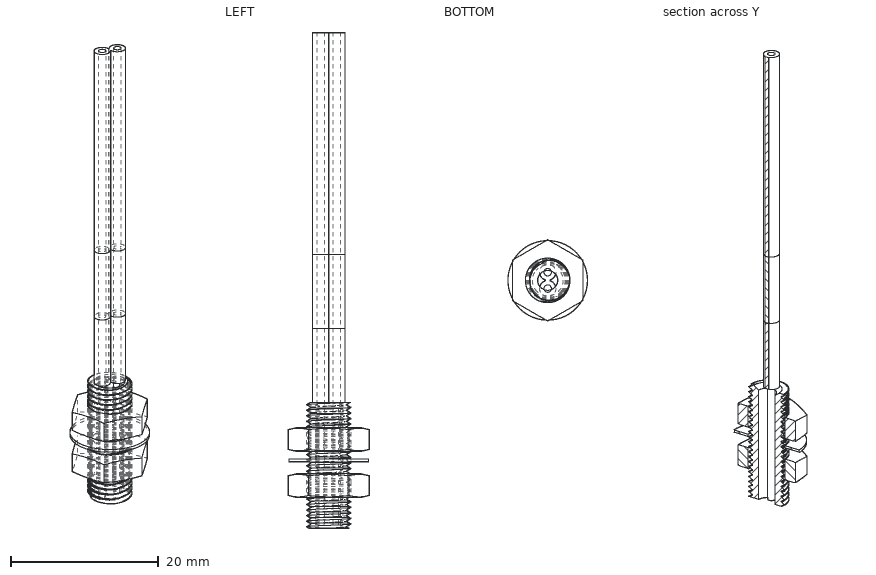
import cadquery as cq
import math

sleeve_length = 17.0
thread_radius = 3.0
thread_depth = 0.6
thread_turns = 22.7
root_start_angle = 170.0
thread_pitch = sleeve_length / thread_turns
root_radius = thread_radius - thread_depth
flank_steps = 8
thread_pieces = 23
seam_tolerance = 0.0001
piece_length = sleeve_length / thread_pieces
piece_turn = 360.0 * thread_turns / thread_pieces
bore_radius = 1.35
funnel_radius = 2.1
funnel_depth = 0.55

nut_across_corners = 11.0
nut_height = 3.2
nut_face_radius = 4.35
nut_chamfer_height = 0.3
nut_bases = (4.15, 10.4)

washer_diameter = 10.8
washer_thickness = 0.4
washer_base = 9.0

overall_height = 67.0
jacket_diameter = 2.2
core_diameter = 1.0
web_width = 0.7
short_jacket_length = 10.0
wire_offsets = (-jacket_diameter / 2, jacket_diameter / 2)
jacket_joints = (
    sleeve_length,
    sleeve_length + short_jacket_length,
    sleeve_length + 2 * short_jacket_length,
    overall_height,
)


def bar(radius, bottom, top, y=0.0):
    """Round bar along Z."""
    return cq.Workplane("XY", origin=(0, y, bottom)).circle(radius).extrude(top - bottom)


def revolved(outline):
    """Solid of revolution about Z from (radius, height) points."""
    return cq.Workplane("XZ").polyline(outline).close().revolve(360, (0, 0, 0), (0, 1, 0))


def polar_point(radius, degrees):
    angle = math.radians(degrees)
    return (radius * math.cos(angle), radius * math.sin(angle))


def make_screw_piece():
    """Short length of sharp V screw: a level slice swept along the helix.

    Two mirrored spirals bound the slice, running from the root out to the crest. They become the flanks.
    """
    flank = []
    for step in range(flank_steps + 1):
        part = step / flank_steps
        flank.append(polar_point(root_radius + part * thread_depth, part * 180.0))
    opposite_flank = [(x, -y) for x, y in reversed(flank)]
    helix = cq.Wire.makeHelix(thread_pitch, piece_length, thread_radius)
    return (
        cq.Workplane("XY")
        .spline(flank)
        .spline(opposite_flank[1:], includeCurrent=True)
        .close()
        .sweep(cq.Workplane(obj=helix), isFrenet=True)
        .rotate((0, 0, 0), (0, 0, 1), root_start_angle)
    )


def make_threaded_bar():
    """One solid sewn from the thread faces of a stack of pieces and the two flat ends."""
    piece = make_screw_piece()
    last_piece = thread_pieces - 1
    faces = []
    for index in range(thread_pieces):
        turned = piece.rotate((0, 0, 0), (0, 0, 1), index * piece_turn)
        stacked = turned.translate((0, 0, index * piece_length))
        faces += stacked.faces("not %Plane").vals()
        if index == 0:
            faces.append(stacked.faces("<Z").val())
        if index == last_piece:
            faces.append(stacked.faces(">Z").val())
    skin = cq.occ_impl.shapes.shell(*faces, tol=seam_tolerance)
    return cq.Workplane(obj=cq.Solid.makeSolid(skin).fix())


def make_sleeve():
    """Threaded tube with a funnel at the upper mouth of its bore."""
    bore = revolved([
        (0, 0),
        (bore_radius, 0),
        (bore_radius, sleeve_length - funnel_depth),
        (funnel_radius, sleeve_length),
        (0, sleeve_length),
    ])
    return make_threaded_bar().cut(bore)


def make_nut(base):
    """Hexagon nut with the corners of both faces chamfered by a cone."""
    corner_radius = nut_across_corners / 2
    hexagon = (
        cq.Workplane("XY")
        .transformed(rotate=(0, 0, 90))
        .polygon(6, nut_across_corners)
        .extrude(nut_height)
    )
    chamfer_envelope = revolved([
        (0, 0),
        (nut_face_radius, 0),
        (corner_radius, nut_chamfer_height),
        (corner_radius, nut_height - nut_chamfer_height),
        (nut_face_radius, nut_height),
        (0, nut_height),
    ])
    nut = hexagon.intersect(chamfer_envelope).cut(bar(thread_radius, 0, nut_height))
    return nut.translate((0, 0, base))


def make_washer():
    top = washer_base + washer_thickness
    disc = bar(washer_diameter / 2, washer_base, top)
    return disc.cut(bar(thread_radius, washer_base, top))


def make_core(y):
    """Bare conductor, running the whole height."""
    return bar(core_diameter / 2, 0, overall_height, y)


def make_jacket(bottom, top):
    """Length of insulation: two round jackets joined by a web, with a hole for each core."""
    jacket = (
        cq.Workplane("XY", origin=(0, 0, bottom))
        .rect(web_width, jacket_diameter / 2)
        .extrude(top - bottom)
    )
    for y in wire_offsets:
        jacket = jacket.union(bar(jacket_diameter / 2, bottom, top, y))
    for y in wire_offsets:
        jacket = jacket.cut(bar(core_diameter / 2, bottom, top, y))
    return jacket


sleeve = make_sleeve()
nuts = [make_nut(base) for base in nut_bases]
washer = make_washer()
cores = [make_core(y) for y in wire_offsets]
jackets = [make_jacket(bottom, top) for bottom, top in zip(jacket_joints, jacket_joints[1:])]

result = cq.Compound.makeCompound([
    sleeve.val(),
    *[nut.val() for nut in nuts],
    washer.val(),
    *[core.val() for core in cores],
    *[jacket.val() for jacket in jackets],
])